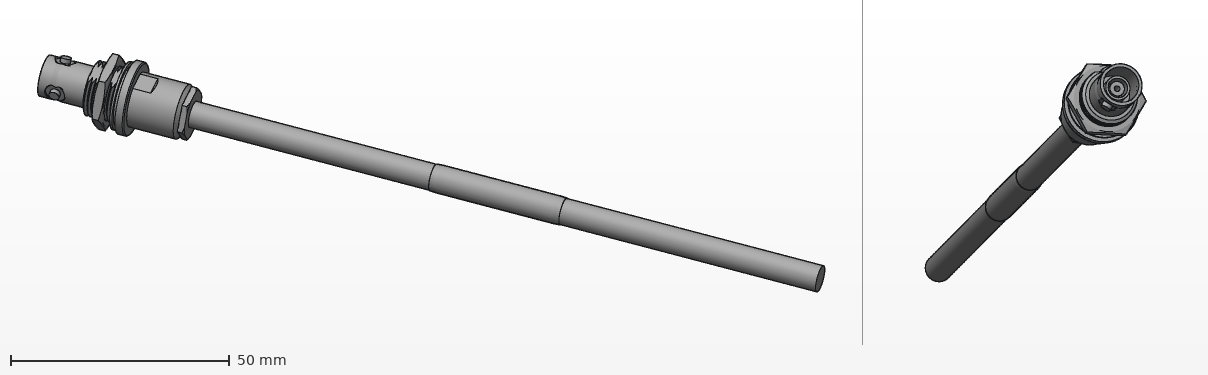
import cadquery as cq
import math


BARREL_RADIUS = 4.9
BARREL_LENGTH = 11.3
BORE_RADIUS = 4.1
BORE_DEPTH = 9.5
LUG_COUNT = 3
FIRST_LUG_ANGLE = 90
LUG_X = 4.1
LUG_RADIUS = 1.23
LUG_TIP = 5.5
SPOTFACE_RADIUS = 2.5
SPOTFACE_HEIGHT = 4.3
LUG_GROOVE_WIDTH = 2 * LUG_RADIUS
LUG_GROOVE_DEPTH = 0.2

THREAD_RADIUS = 13.0 / 2
THREAD_DEPTH = 0.8
THREAD_PITCH = 1.0
THREAD_GROOVE_WIDTH = 0.85
THREAD_FLAT_HEIGHT = 5.5
SHOULDER_RADIUS = 7.2

FLANGE_FRONT_X = 20.2
FLANGE_BACK_X = 22.2
FLANGE_RADIUS = 17.5 / 2
FLANGE_CHAMFER = 0.28

BODY_RADIUS = THREAD_RADIUS
BODY_BACK_X = 34.5
BODY_CHAMFER = 1.0
WRENCH_FLAT_HEIGHT = 6.0
WRENCH_FLAT_END_X = 26.5
WRENCH_FLAT_RUNOUT = 0.5

NUT_FRONT_X = 14.3
NUT_BACK_X = 16.8
NUT_FLATS = 16.0
NUT_CHAMFER = 1.5
NUT_CHAMFER_LENGTH = 0.47
WASHER_FRONT_X = 18.7
WASHER_BACK_X = 19.2
WASHER_RADIUS = 8.1

CLAMP_BACK_X = 36.0
CLAMP_FLATS = 11.1
CLAMP_CHAMFER = 0.5
CLAMP_CHAMFER_LENGTH = 0.4

INSULATOR_RADIUS = 2.8
INSULATOR_BORE_RADIUS = 2.3
INSULATOR_FRONT_X = 3.4
INSULATOR_SEAT_DEPTH = 5.7
INSULATOR_BACK_X = BORE_DEPTH + INSULATOR_SEAT_DEPTH
CONTACT_RADIUS = 1.7
CONTACT_FRONT_X = 4.1
CONTACT_SOCKET_RADIUS = 0.66

CABLE_RADIUS = 6.2 / 2
CABLE_END_X = 188.5
CABLE_FRONT_X = BODY_BACK_X
SLEEVE_RADIUS = 6.6 / 2
SLEEVE_END_RADIUS = 3.2
SLEEVE_FRONT_X = 94.5
SLEEVE_BACK_X = 126.0
SLEEVE_TAPER = 1.7


def rod(radius, start_x, end_x):
    """Solid cylinder along the axis."""
    return cq.Workplane("YZ", origin=(start_x, 0, 0)).circle(radius).extrude(end_x - start_x)


def ring(outer_radius, inner_radius, start_x, end_x):
    """Hollow cylinder along the axis."""
    return rod(outer_radius, start_x, end_x).cut(rod(inner_radius, start_x, end_x))


def v_groove(surface_radius, center_x, width, depth):
    """Cutter for a V-shaped groove around a cylinder of the given radius."""
    return (
        cq.Workplane("XY")
        .moveTo(center_x - width / 2, surface_radius)
        .lineTo(center_x, surface_radius - depth)
        .lineTo(center_x + width / 2, surface_radius)
        .close()
        .revolve(360, (0, 0, 0), (1, 0, 0))
    )


def hexagon_nut(flats, start_x, end_x, chamfer, chamfer_length, chamfered_faces):
    """Hexagonal prism with flats facing +Z and -Z, its corners turned off at the chosen end faces."""
    corner_radius = flats / math.sqrt(3)
    prism = (
        cq.Workplane("YZ", origin=(start_x, 0, 0))
        .polygon(6, 2 * corner_radius)
        .extrude(end_x - start_x)
    )
    turned = rod(corner_radius, start_x, end_x).faces(chamfered_faces).chamfer(chamfer_length, chamfer)
    return prism.intersect(turned)


def make_threaded_neck():
    """Neck with ring-shaped thread grooves and a flat on its +Z side."""
    neck = rod(THREAD_RADIUS, BARREL_LENGTH, FLANGE_FRONT_X)
    grooves_before_washer = 1 + int((WASHER_FRONT_X - BARREL_LENGTH) / THREAD_PITCH)
    for index in range(grooves_before_washer):
        center_x = BARREL_LENGTH + index * THREAD_PITCH
        neck = neck.cut(v_groove(THREAD_RADIUS, center_x, THREAD_GROOVE_WIDTH, THREAD_DEPTH))
    above_flat = (
        cq.Workplane("XY", origin=(0, 0, THREAD_FLAT_HEIGHT))
        .rect(2 * FLANGE_FRONT_X, 2 * THREAD_RADIUS)
        .extrude(THREAD_RADIUS)
    )
    return neck.cut(above_flat)


def make_barrel():
    """Front barrel with a shallow groove and evenly spaced lugs, each on a spotface."""
    barrel = rod(BARREL_RADIUS, 0, BARREL_LENGTH)
    barrel = barrel.cut(v_groove(BARREL_RADIUS, LUG_X, LUG_GROOVE_WIDTH, LUG_GROOVE_DEPTH))
    for index in range(LUG_COUNT):
        angle = FIRST_LUG_ANGLE + index * 360 / LUG_COUNT
        spot = (
            cq.Workplane("XY", origin=(LUG_X, 0, SPOTFACE_HEIGHT))
            .circle(SPOTFACE_RADIUS)
            .extrude(BARREL_RADIUS)
        )
        lug = cq.Workplane("XY", origin=(LUG_X, 0, 0)).circle(LUG_RADIUS).extrude(LUG_TIP)
        barrel = barrel.cut(spot.rotate((0, 0, 0), (1, 0, 0), angle))
        barrel = barrel.union(lug.rotate((0, 0, 0), (1, 0, 0), angle))
    return barrel


def make_rear_body():
    """Rear body with two wrench flats that run out on a slope."""
    body = rod(BODY_RADIUS, FLANGE_BACK_X, BODY_BACK_X).faces(">X").chamfer(BODY_CHAMFER)
    for side in (1, -1):
        flat = (
            cq.Workplane("XZ")
            .moveTo(FLANGE_BACK_X, side * WRENCH_FLAT_HEIGHT)
            .lineTo(WRENCH_FLAT_END_X, side * WRENCH_FLAT_HEIGHT)
            .lineTo(WRENCH_FLAT_END_X + WRENCH_FLAT_RUNOUT, side * BODY_RADIUS)
            .lineTo(FLANGE_BACK_X, side * BODY_RADIUS)
            .close()
            .extrude(BODY_RADIUS, both=True)
        )
        body = body.cut(flat)
    return body


def make_shell():
    shell = make_barrel().union(make_threaded_neck())
    shell = shell.union(rod(SHOULDER_RADIUS, WASHER_BACK_X, FLANGE_FRONT_X))
    flange = rod(FLANGE_RADIUS, FLANGE_FRONT_X, FLANGE_BACK_X).faces(">X").chamfer(FLANGE_CHAMFER)
    shell = shell.union(flange)
    shell = shell.union(make_rear_body())
    shell = shell.cut(rod(BORE_RADIUS, 0, BORE_DEPTH))
    return shell.cut(rod(INSULATOR_RADIUS, BORE_DEPTH, INSULATOR_BACK_X))


def make_panel_nut():
    nut = hexagon_nut(NUT_FLATS, NUT_FRONT_X, NUT_BACK_X, NUT_CHAMFER, NUT_CHAMFER_LENGTH, "|X")
    return nut.cut(rod(THREAD_RADIUS, NUT_FRONT_X, NUT_BACK_X))


def make_washer():
    return ring(WASHER_RADIUS, THREAD_RADIUS, WASHER_FRONT_X, WASHER_BACK_X)


def make_clamp_nut():
    nut = hexagon_nut(CLAMP_FLATS, BODY_BACK_X, CLAMP_BACK_X, CLAMP_CHAMFER, CLAMP_CHAMFER_LENGTH, ">X")
    return nut.cut(rod(CABLE_RADIUS, BODY_BACK_X, CLAMP_BACK_X))


def make_insulator():
    """Cup-shaped insulator whose floor holds the contact."""
    insulator = rod(INSULATOR_RADIUS, INSULATOR_FRONT_X, INSULATOR_BACK_X)
    insulator = insulator.cut(rod(INSULATOR_BORE_RADIUS, INSULATOR_FRONT_X, BORE_DEPTH))
    return insulator.cut(rod(CONTACT_RADIUS, BORE_DEPTH, INSULATOR_BACK_X))


def make_contact():
    contact = rod(CONTACT_RADIUS, CONTACT_FRONT_X, INSULATOR_BACK_X)
    return contact.cut(rod(CONTACT_SOCKET_RADIUS, CONTACT_FRONT_X, BORE_DEPTH))


def make_cable():
    return rod(CABLE_RADIUS, CABLE_FRONT_X, CABLE_END_X)


def make_sleeve():
    sleeve = rod(SLEEVE_RADIUS, SLEEVE_FRONT_X, SLEEVE_BACK_X)
    sleeve = sleeve.faces("|X").chamfer(SLEEVE_TAPER, SLEEVE_RADIUS - SLEEVE_END_RADIUS)
    return sleeve.cut(rod(CABLE_RADIUS, SLEEVE_FRONT_X, SLEEVE_BACK_X))


shell = make_shell()
panel_nut = make_panel_nut()
washer = make_washer()
clamp_nut = make_clamp_nut()
insulator = make_insulator()
contact = make_contact()
cable = make_cable()
sleeve = make_sleeve()

result = cq.Compound.makeCompound(
    [
        shell.val(),
        panel_nut.val(),
        washer.val(),
        clamp_nut.val(),
        insulator.val(),
        contact.val(),
        cable.val(),
        sleeve.val(),
    ]
)